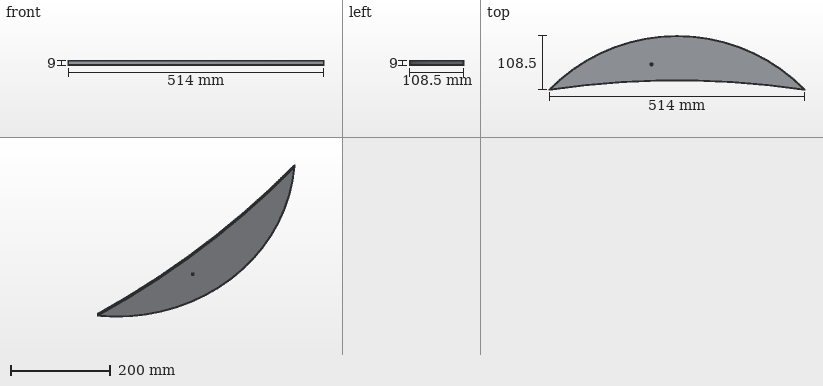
import cadquery as cq

length = 514.0
depth = 108.5
thickness = 9.0
inner_rise = 19.0

hole_diameter = 4.0
hole_x = -51.5
hole_y = 51.5

half_length = length / 2

plate = (
    cq.Workplane("XY")
    .moveTo(-half_length, 0)
    .threePointArc((0, depth), (half_length, 0))
    .threePointArc((0, inner_rise), (-half_length, 0))
    .close()
    .extrude(thickness)
)

hole = (
    cq.Workplane("XY")
    .center(hole_x, hole_y)
    .circle(hole_diameter / 2)
    .extrude(thickness)
)

result = plate.cut(hole)